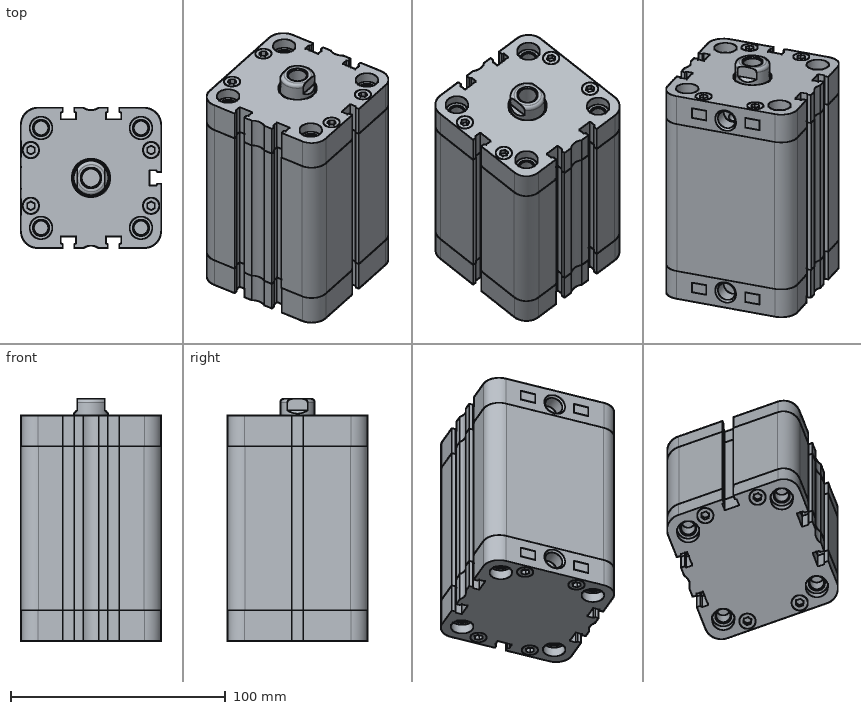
import cadquery as cq


width = 65.5
half_width = width / 2
corner_radius = 8.2
cap_corner_radius = 7.9
cap_inset = 0.06
cap_half_width = half_width - cap_inset

total_height = 113.0
rod_projection = 7.8
cap_height = 14.5
body_height = total_height - rod_projection
tube_height = body_height - 2 * cap_height
front_cap_base = body_height - cap_height

slot_offset = 10.5
slot_mouth_width = 5.3
slot_channel_width = 7.0
slot_lip = 1.9
slot_depth = 5.4
slot_lip_chamfer = 0.5

hollow_diameter = 12.0
hollow_half_width = 3.5
hollow_centre_offset = half_width + ((hollow_diameter / 2) ** 2 - hollow_half_width ** 2) ** 0.5

mount_offset = 23.3
counterbore_diameter = 10.5
counterbore_depth = 5.0
thread_mouth_diameter = 7.7
thread_diameter = 6.7
thread_chamfer = (thread_mouth_diameter - thread_diameter) / 2

screw_offset_x = 28.0
screw_offset_y = 13.0
screw_recess_diameter = 7.7
screw_head_diameter = 7.5
screw_head_height = 5.0
hex_across_corners = 4.1
hex_depth = 2.5

port_inset = 8.0
port_diameter = 8.6
port_mouth_diameter = 10.5
port_chamfer = (port_mouth_diameter - port_diameter) / 2
port_depth = 8.0
airway_diameter = 3.5
airway_shift = 2.0
airway_depth = 5.6

panel_width = 7.2
panel_height = 5.0
panel_offset = 13.5
panel_inset = 7.3
panel_depth = 0.2

bore_diameter = 50.0
rod_diameter = 16.0
rod_hole_diameter = 16.5
rod_recess_diameter = 17.7
rod_recess_mouth_diameter = 18.0
rod_recess_depth = 1.1
rod_recess_chamfer = (rod_recess_mouth_diameter - rod_recess_diameter) / 2
rod_edge_radius = 1.7
rod_flat_width = 13.0
rod_flat_base = body_height + 2.4
rod_thread_diameter = 8.6
rod_thread_mouth_diameter = 9.7
rod_thread_chamfer = (rod_thread_mouth_diameter - rod_thread_diameter) / 2
rod_thread_depth = 20.0


def cylinder(diameter, height, x=0.0, y=0.0, z=0.0):
    """Upright cylinder standing on the height z."""
    return cq.Workplane("XY", origin=(x, y, z)).circle(diameter / 2).extrude(height)


def slot_cutter(height, inset):
    """Sensor slot that opens toward +Y at x = 0, with its walls set back by the inset."""
    mouth = slot_mouth_width / 2 + inset
    channel = slot_channel_width / 2 + inset
    floor = half_width - slot_depth - inset
    lip_bottom = half_width - slot_lip
    outline = [
        (mouth, half_width),
        (mouth, lip_bottom),
        (channel, lip_bottom - slot_lip_chamfer),
        (channel, floor),
        (-channel, floor),
        (-channel, lip_bottom - slot_lip_chamfer),
        (-mouth, lip_bottom),
        (-mouth, half_width),
    ]
    return cq.Workplane("XY").polyline(outline).close().extrude(height)


def profile_block(height, radius, inset=0.0):
    """Rounded square block with the slots and hollows that run along the body."""
    side = width - 2 * inset
    block = cq.Workplane("XY").rect(side, side).extrude(height).edges("|Z").fillet(radius)
    slot = slot_cutter(height, inset)
    for turn in (0, 180):
        for x in (-slot_offset, slot_offset):
            block = block.cut(slot.translate((x, 0, 0)).rotate((0, 0, 0), (0, 0, 1), turn))
    block = block.cut(slot.rotate((0, 0, 0), (0, 0, 1), -90))
    for y in (-hollow_centre_offset, hollow_centre_offset):
        block = block.cut(cylinder(hollow_diameter + 2 * inset, height, y=y))
    return block


def mount_hole_cutter():
    """Counterbore and chamfered thread hole, going up from z = 0 to the far cap face."""
    hole = cylinder(counterbore_diameter, counterbore_depth)
    hole = hole.union(cylinder(thread_diameter, cap_height))
    mouth = cq.Workplane("XY", origin=(0, 0, counterbore_depth)).circle(thread_mouth_diameter / 2)
    countersink = mouth.extrude(thread_chamfer, taper=45)
    return hole.union(countersink)


def screw_cutter():
    """Gap round a screw head flush with z = 0, with the hexagon socket in the head."""
    gap = cylinder(screw_recess_diameter, screw_head_height)
    gap = gap.cut(cylinder(screw_head_diameter, screw_head_height))
    socket = cq.Workplane("XY").polygon(6, hex_across_corners).extrude(hex_depth)
    return gap.union(socket.rotate((0, 0, 0), (0, 0, 1), 90))


def port_cutter():
    """Chamfered air port going inward from the -X side."""
    mouth = cq.Workplane("YZ", origin=(-cap_half_width, 0, port_inset))
    port = mouth.circle(port_diameter / 2).extrude(port_depth)
    countersink = mouth.circle(port_mouth_diameter / 2).extrude(port_chamfer, taper=45)
    return port.union(countersink)


def end_cap():
    """End cap with its outer face at z = 0."""
    cap = profile_block(cap_height, cap_corner_radius, cap_inset)
    for side_x in (-1, 1):
        for side_y in (-1, 1):
            cap = cap.cut(mount_hole_cutter().translate((side_x * mount_offset, side_y * mount_offset, 0)))
            cap = cap.cut(screw_cutter().translate((side_x * screw_offset_x, side_y * screw_offset_y, 0)))
    cap = cap.cut(port_cutter())
    for y in (-panel_offset, panel_offset):
        panel = cq.Workplane("XY").box(2 * panel_depth, panel_width, panel_height)
        cap = cap.cut(panel.translate((-cap_half_width, y, panel_inset)))
    return cap


def front_cap():
    """Cap turned over to sit on top of the tube, with the rod hole and the airway."""
    cap = end_cap().mirror("XY").translate((0, 0, body_height))
    cap = cap.cut(cylinder(rod_hole_diameter, cap_height, z=front_cap_base))
    top = cq.Workplane("XY", origin=(0, 0, body_height))
    recess = top.circle(rod_recess_diameter / 2).extrude(-rod_recess_depth)
    recess_mouth = top.circle(rod_recess_mouth_diameter / 2).extrude(-rod_recess_chamfer, taper=45)
    cap = cap.cut(recess).cut(recess_mouth)
    airway_start = (port_depth - cap_half_width, 0, body_height - port_inset - airway_shift)
    airway = cq.Workplane("YZ", origin=airway_start).circle(airway_diameter / 2).extrude(airway_depth)
    return cap.cut(airway)


def tube():
    """Profiled tube with a plain bore, standing on the rear cap."""
    blank = profile_block(tube_height, corner_radius).cut(cylinder(bore_diameter, tube_height))
    return blank.translate((0, 0, cap_height))


def piston_rod():
    """Rod from the rear cap upward, with wrench flats and a threaded end."""
    rod = cylinder(rod_diameter, total_height - cap_height, z=cap_height)
    rod = rod.faces(">Z").edges().fillet(rod_edge_radius)
    inner = rod_flat_width / 2
    outer = rod_diameter / 2
    flat_outline = [
        (inner, rod_flat_base),
        (inner, total_height),
        (outer, total_height),
        (outer, rod_flat_base - (outer - inner)),
    ]
    flat = cq.Workplane("XZ").polyline(flat_outline).close().extrude(outer, both=True)
    rod = rod.cut(flat).cut(flat.mirror("YZ"))
    end = cq.Workplane("XY", origin=(0, 0, total_height))
    thread = end.circle(rod_thread_diameter / 2).extrude(-rod_thread_depth)
    countersink = end.circle(rod_thread_mouth_diameter / 2).extrude(-rod_thread_chamfer, taper=45)
    return rod.cut(thread).cut(countersink)


result = cq.Compound.makeCompound(
    [
        end_cap().val(),
        tube().val(),
        front_cap().val(),
        piston_rod().val(),
    ]
)